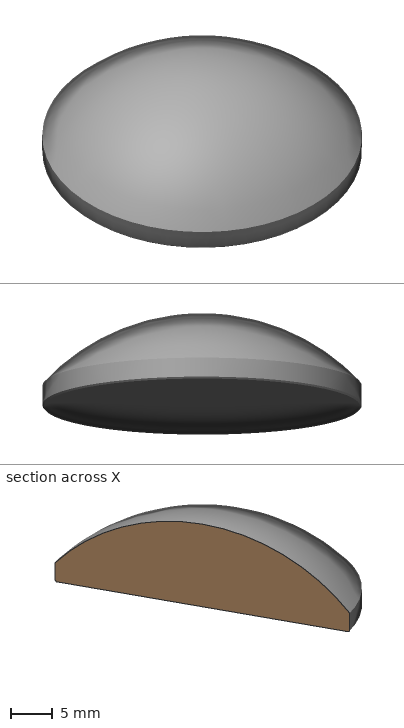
import cadquery as cq
import math

diameter = 38.1
center_thickness = 10.88
edge_thickness = 2.5
bevel = 0.2

radius = diameter / 2
sag = center_thickness - edge_thickness
curvature_radius = (radius**2 + sag**2) / (2 * sag)


def dome_height(distance):
    """Height of the convex surface at a distance from the optical axis."""
    return center_thickness - curvature_radius + math.sqrt(curvature_radius**2 - distance**2)


def lens_half_profile():
    """Half section of the lens in the XZ plane, closed along the optical axis."""
    mid_distance = radius / 2
    return (
        cq.Workplane("XZ")
        .lineTo(radius - bevel, 0)
        .lineTo(radius, bevel)
        .lineTo(radius, edge_thickness)
        .threePointArc((mid_distance, dome_height(mid_distance)), (0, center_thickness))
        .close()
    )


result = lens_half_profile().revolve(360, (0, 0, 0), (0, 1, 0))